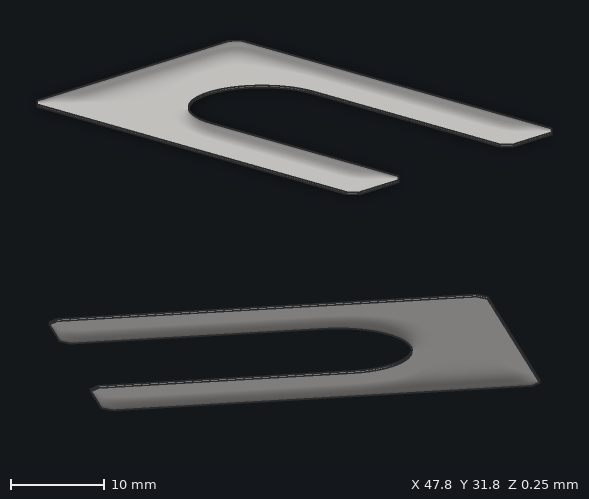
import cadquery as cq

length = 47.75
width = 31.75
thickness = 0.25
corner_chamfer = 1.0

slot_width = 15.75
slot_depth = 36.55
slot_radius = slot_width / 2
slot_centre_x = length / 2 - slot_depth + slot_radius

plate = cq.Workplane("XY").box(length, width, thickness)
slot = (
    cq.Workplane("XY", origin=(0, 0, -thickness / 2))
    .moveTo(length / 2, -slot_radius)
    .lineTo(slot_centre_x, -slot_radius)
    .threePointArc((slot_centre_x - slot_radius, 0), (slot_centre_x, slot_radius))
    .lineTo(length / 2, slot_radius)
    .close()
    .extrude(thickness)
)
result = plate.cut(slot).faces("<X or >X").edges("|Z").chamfer(corner_chamfer)